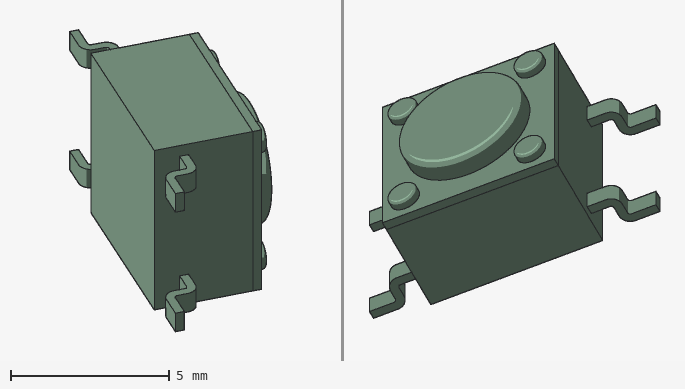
import cadquery as cq

overall_span = 10.0
housing_side = 6.0
housing_depth = 3.3
cover_thickness = 0.3

button_diameter = 4.3
button_height = 0.7
button_fillet = 0.2

peg_diameter = 1.0
peg_height = 0.3
peg_fillet = 0.1
peg_offset = 2.2

lead_width = 0.7
lead_thickness = 0.3
lead_height = 1.15
lead_offset = 2.25
foot_length = 0.85
bend_inner_radius = 0.1
bend_outer_radius = bend_inner_radius + lead_thickness

cover_bottom = housing_depth
cover_top = cover_bottom + cover_thickness


def y_cylinder(diameter, height, fillet, x, z):
    """Round boss standing on the cover along +Y, with a rounded top edge."""
    boss = (
        cq.Workplane("XY")
        .circle(diameter / 2)
        .extrude(height)
        .faces(">Z")
        .edges()
        .fillet(fillet)
    )
    return boss.rotate((0, 0, 0), (1, 0, 0), -90).translate((x, cover_top, z))


def make_housing():
    """Plain block resting on the mounting plane."""
    return cq.Workplane("XY").box(
        housing_side, housing_depth, housing_side, centered=(True, False, True)
    )


def make_cover():
    """Cover plate with the round button and a peg near each corner."""
    plate = (
        cq.Workplane("XY")
        .box(housing_side, cover_thickness, housing_side, centered=(True, False, True))
        .translate((0, cover_bottom, 0))
    )
    cover = plate.union(y_cylinder(button_diameter, button_height, button_fillet, 0, 0))
    for x in (-peg_offset, peg_offset):
        for z in (-peg_offset, peg_offset):
            cover = cover.union(y_cylinder(peg_diameter, peg_height, peg_fillet, x, z))
    return cover


def make_lead(side, z):
    """Gull-wing lead on the -X (side = -1) or +X (side = 1) face of the housing."""
    tip = -overall_span / 2
    root = -housing_side / 2
    foot_end = tip + foot_length
    riser_outside = foot_end + bend_inner_radius
    riser_inside = riser_outside + lead_thickness
    shoulder_start = riser_outside + bend_outer_radius
    riser_bottom = bend_outer_radius
    riser_top = lead_height - bend_outer_radius
    shoulder_bottom = lead_height - lead_thickness

    lead = (
        cq.Workplane("XY")
        .moveTo(tip, 0)
        .lineTo(foot_end, 0)
        .radiusArc((riser_inside, riser_bottom), -bend_outer_radius)
        .lineTo(riser_inside, riser_top)
        .radiusArc((shoulder_start, shoulder_bottom), bend_inner_radius)
        .lineTo(root, shoulder_bottom)
        .lineTo(root, lead_height)
        .lineTo(shoulder_start, lead_height)
        .radiusArc((riser_outside, riser_top), -bend_outer_radius)
        .lineTo(riser_outside, riser_bottom)
        .radiusArc((foot_end, lead_thickness), bend_inner_radius)
        .lineTo(tip, lead_thickness)
        .close()
        .extrude(lead_width / 2, both=True)
    )
    if side > 0:
        lead = lead.mirror("YZ")
    return lead.translate((0, 0, z))


housing = make_housing()
cover = make_cover()
leads = [make_lead(side, z) for side in (-1, 1) for z in (-lead_offset, lead_offset)]

result = cq.Compound.makeCompound(
    [housing.val(), cover.val(), *[lead.val() for lead in leads]]
)